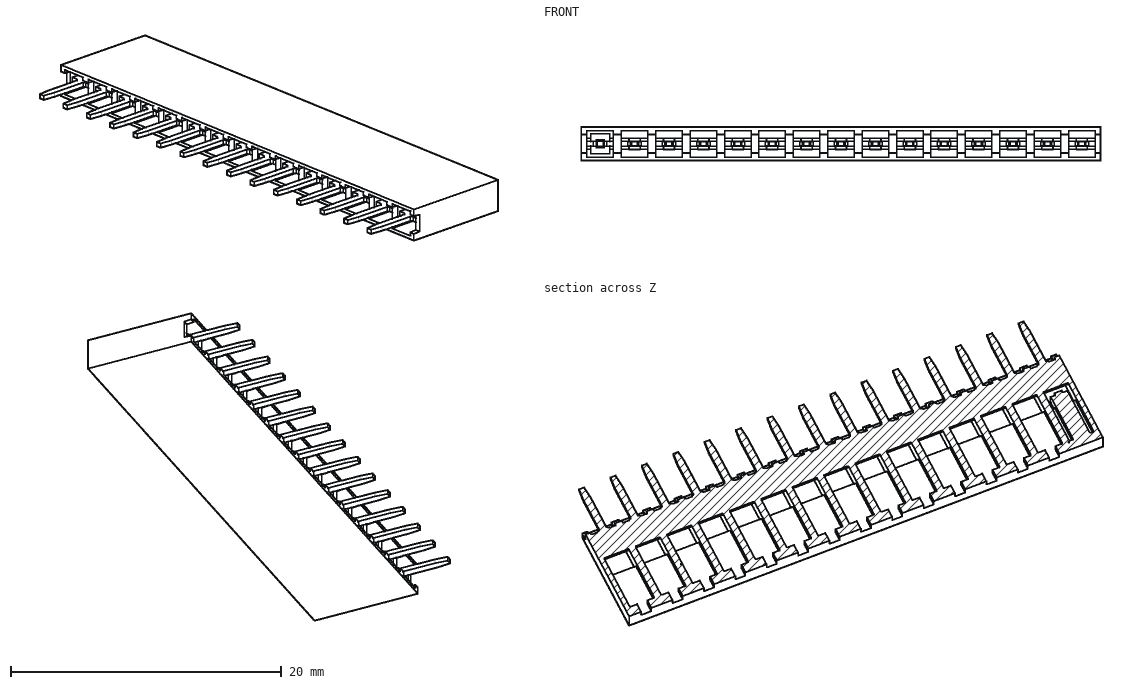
import cadquery as cq

length = 38.35
overall_depth = 11.7
height = 2.5

pin_protrusion = 3.22
housing_depth = overall_depth - pin_protrusion

groove_mouth_height = 1.4
groove_floor_height = 1.35
groove_depth = 0.58

cavity_size = 1.95
cavity_depth = 4.4
slot_height = 0.8
slot_end_wall = 0.75
window_size = 0.8

contact_count = 15
end_wall = 0.42
end_distance = end_wall + cavity_size / 2
pitch = (length - 2 * end_distance) / (contact_count - 1)
contact_places = [end_distance + i * pitch for i in range(contact_count)]

contact_thickness = 0.35
pin_width = 0.6
pin_tip_width = 0.42
pin_taper_length = 1.0
neck_width = 1.0
neck_length = 0.1
plate_setback = 0.2
plate_length = 2.3

plug_width = 1.38
plug_height = 1.5
plug_length = 0.75
plug_boss_size = 0.6
plug_boss_length = 0.2

tip_y = -pin_protrusion
groove_floor_y = groove_depth
cavity_floor_y = cavity_depth
slot_floor_y = housing_depth - slot_end_wall
plate_front_y = groove_floor_y + plate_setback


def block(x_center, width, y_start, y_end, block_height):
    """A box centred on Z = 0 that runs from y_start to y_end."""
    return (
        cq.Workplane("XY")
        .box(width, y_end - y_start, block_height)
        .translate((x_center, (y_start + y_end) / 2, 0))
    )


def make_housing():
    body = block(length / 2, length, 0, housing_depth, height)
    groove = (
        cq.Workplane("YZ")
        .polyline([
            (0, -groove_mouth_height / 2),
            (groove_depth, -groove_floor_height / 2),
            (groove_depth, groove_floor_height / 2),
            (0, groove_mouth_height / 2),
        ])
        .close()
        .extrude(length)
    )
    return body.cut(groove)


def make_cavity(x):
    """Full cavity, then a lower slot, then a square window through the back."""
    cavity = block(x, cavity_size, 0, cavity_floor_y, cavity_size)
    slot = block(x, cavity_size, cavity_floor_y, slot_floor_y, slot_height)
    window = block(x, window_size, slot_floor_y, housing_depth, window_size)
    return cavity.union(slot).union(window)


def make_contact(x):
    plate_back_y = plate_front_y + plate_length
    right_half = (
        cq.Workplane("XY")
        .moveTo(0, tip_y)
        .lineTo(pin_tip_width / 2, tip_y)
        .lineTo(pin_width / 2, tip_y + pin_taper_length)
        .lineTo(pin_width / 2, plate_front_y - neck_length)
        .lineTo(neck_width / 2, plate_front_y)
        .lineTo(cavity_size / 2, plate_front_y)
        .lineTo(cavity_size / 2, plate_back_y)
        .lineTo(0, plate_back_y)
    )
    outline = right_half.mirrorY()
    return outline.extrude(contact_thickness / 2, both=True).translate((x, 0, 0))


def make_plug(x):
    head_front_y = cavity_floor_y - plug_length
    head = block(x, plug_width, head_front_y, housing_depth, plug_height)
    boss = block(x, plug_boss_size, head_front_y - plug_boss_length, head_front_y, plug_boss_size)
    return head.union(boss)


result = make_housing()
for place in contact_places:
    result = result.cut(make_cavity(place))
for place in contact_places:
    result = result.union(make_contact(place))
result = result.union(make_plug(contact_places[0]))